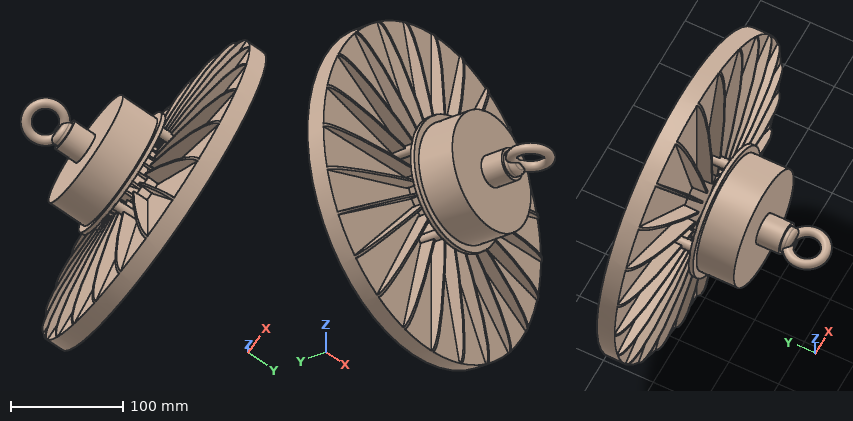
import cadquery as cq


overall_height = 150.2

disc_diameter = 321
disc_thickness = 18.0
fin_count = 24
fin_height = 14.8
fin_inner_radius = 38.5
fin_base_width = 3.0
fin_tip_width = 2.0

core_radius = 36.0

post_count = 4
post_diameter = 10.0
post_circle_radius = 56.2
post_start_angle = 15

flange_distance = 42.7
flange_diameter = 129.5
flange_thickness = 4.2
housing_diameter = 116.0
housing_height = 37.5

stem_diameter = 30.5
stem_length = 22.8
neck_diameter = 24.7
neck_length = 8.5
neck_rounding = 4.8
ring_outer_diameter = 44.3
ring_wire_diameter = 10.0

disc_radius = disc_diameter / 2
housing_base = flange_distance + flange_thickness
housing_top = housing_base + housing_height
stem_top = housing_top + stem_length
ring_centre = overall_height - ring_outer_diameter / 2


def cylinder(diameter, start, height):
    """Cylinder on the lamp axis, beginning at a distance from the lamp face."""
    return cq.Workplane("XZ", origin=(0, -start, 0)).circle(diameter / 2).extrude(height)


def make_fin():
    """Radial fin along +X with drafted sides and a quarter-ellipse crest, sunk into the disc."""
    root = -disc_thickness / 2
    base = -disc_thickness
    tip = base - fin_height
    fin_length = disc_radius - fin_inner_radius

    drafted_bar = (
        cq.Workplane("YZ", origin=(fin_inner_radius, 0, 0))
        .polyline(
            [
                (root, -fin_base_width / 2),
                (base, -fin_base_width / 2),
                (tip, -fin_tip_width / 2),
                (tip, fin_tip_width / 2),
                (base, fin_base_width / 2),
                (root, fin_base_width / 2),
            ]
        )
        .close()
        .extrude(fin_length)
    )
    crest = (
        cq.Workplane("XY", origin=(fin_inner_radius, base, 0))
        .ellipse(fin_length, fin_height)
        .extrude(fin_base_width / 2, both=True)
    )
    return drafted_bar.intersect(crest)


def make_heat_sink():
    """Annular disc with radial fins and the posts that carry the driver housing."""
    core_hole = cylinder(2 * core_radius, 0, disc_thickness)
    sink = cylinder(disc_diameter, 0, disc_thickness).cut(core_hole)
    fin = make_fin()
    for index in range(fin_count):
        sink = sink.union(fin.rotate((0, 0, 0), (0, 1, 0), index * 360 / fin_count))
    posts = (
        cq.Workplane("XZ")
        .polarArray(post_circle_radius, -post_start_angle, 360, post_count)
        .circle(post_diameter / 2)
        .extrude(flange_distance)
    )
    return sink.union(posts)


def make_core():
    """Plain disc filling the central hole of the heat sink, flush on both faces."""
    return cylinder(2 * core_radius, 0, disc_thickness)


def make_housing():
    """Driver can with a thin flange at its foot."""
    flange = cylinder(flange_diameter, flange_distance, flange_thickness)
    can = cylinder(housing_diameter, housing_base, housing_height)
    return flange.union(can)


def make_hook():
    """Stem with a rounded neck and a ring lying in the XY plane."""
    stem = cylinder(stem_diameter, housing_top, stem_length)
    neck = cylinder(neck_diameter, stem_top, neck_length).faces("<Y").edges().fillet(neck_rounding)
    wire_radius = ring_wire_diameter / 2
    ring = cq.Workplane(
        cq.Solid.makeTorus(
            ring_outer_diameter / 2 - wire_radius,
            wire_radius,
            cq.Vector(0, -ring_centre, 0),
            cq.Vector(0, 0, 1),
        )
    )
    return stem.union(neck).union(ring)


heat_sink = make_heat_sink()
core = make_core()
housing = make_housing()
hook = make_hook()

result = cq.Compound.makeCompound(
    [
        heat_sink.val(),
        core.val(),
        housing.val(),
        hook.val(),
    ]
)